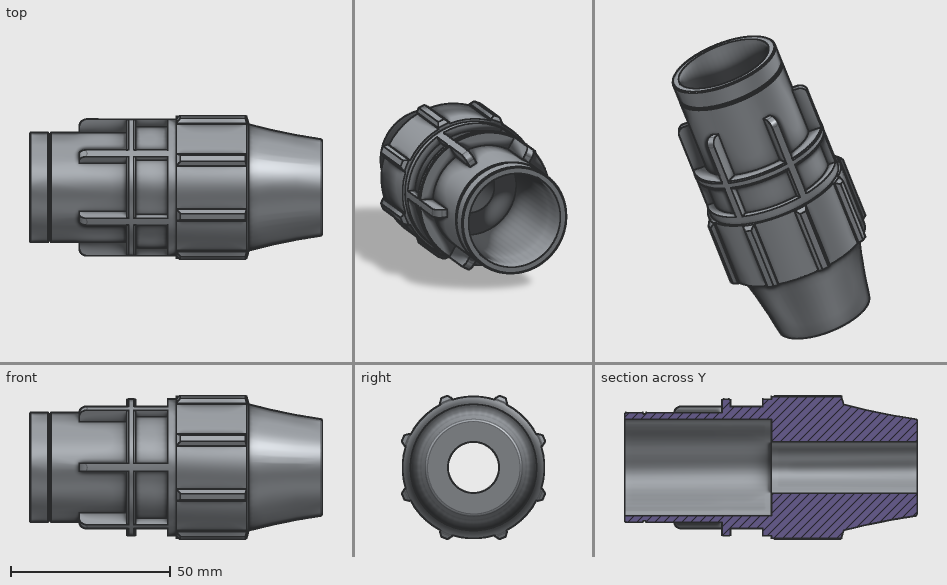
import cadquery as cq
total_length = 92.0

body_radius = 34.6 / 2
body_end_chamfer = 0.4
groove_start = 5.7
groove_end = 6.7
groove_depth = 0.5
groove_wall_run = 0.3

flange_radius = 21.5
ring_start = 30.5
ring_end = 33.3
ring_chamfer_run = 0.55
ring_chamfer_depth = 0.2
neck_radius = 19.1
collar_start = 43.3

nut_radius = 22.4
nut_start = 46.1
nut_end = 68.2
nose_start = 68.9
nose_base_radius = 19.9
nose_tip_radius = 15.2
nose_sag = 0.4
nose_fillet = 0.7

socket_radius = 30.3 / 2
socket_depth = nut_start
through_bore_radius = 16.0 / 2

fin_count = 6
fin_start = 15.55
fin_width = 2.5
fin_corner_radius = 2.5
clearance_margin = 0.9
clearance_radius = flange_radius + clearance_margin

lug_count = 8
lug_top_radius = 24.0
lug_shoulder_radius = 22.7
lug_base_width = 4.05
lug_top_width = 2.1
lug_front_slope_run = 1.3
lug_rear_slope_run = 0.4


def revolve_about_x(outline):
    """Close an XZ outline and turn it fully around the X axis."""
    return outline.close().revolve(360, (0, 0, 0), (1, 0, 0))


def turn_about_x(feature, angle):
    """Copy of a feature turned about the X axis."""
    return feature.rotate((0, 0, 0), (1, 0, 0), angle)


def make_turned_body():
    """Outside of the part, with the fin stretch still a full cylinder of flange radius."""
    groove_radius = body_radius - groove_depth
    nose_mid_x = (nose_start + total_length) / 2
    nose_mid_radius = (nose_base_radius + nose_tip_radius) / 2 - nose_sag

    outline = (
        cq.Workplane("XZ")
        .moveTo(0, 0)
        .lineTo(0, body_radius - body_end_chamfer)
        .lineTo(body_end_chamfer, body_radius)
        .lineTo(groove_start, body_radius)
        .lineTo(groove_start + groove_wall_run, groove_radius)
        .lineTo(groove_end - groove_wall_run, groove_radius)
        .lineTo(groove_end, body_radius)
        .lineTo(fin_start, body_radius)
        .lineTo(fin_start, flange_radius)
        .lineTo(nut_start, flange_radius)
        .lineTo(nut_start, nut_radius)
        .lineTo(nut_end, nut_radius)
        .lineTo(nose_start, nose_base_radius)
        .threePointArc((nose_mid_x, nose_mid_radius), (total_length, nose_tip_radius))
        .lineTo(total_length, 0)
    )
    return revolve_about_x(outline).faces(">X").edges().fillet(nose_fillet)


def make_fin_keeper():
    """Slab on the +Z side covering one fin, rounded at the fin's front outer corner."""
    corner_end = fin_start + fin_corner_radius
    return (
        cq.Workplane("XZ")
        .moveTo(fin_start, socket_radius)
        .lineTo(fin_start, flange_radius - fin_corner_radius)
        .radiusArc((corner_end, flange_radius), fin_corner_radius)
        .lineTo(corner_end, clearance_radius)
        .lineTo(nut_start, clearance_radius)
        .lineTo(nut_start, socket_radius)
        .close()
        .extrude(fin_width / 2, both=True)
    )


def make_fin_clearance():
    """Material removed between the fins, in front of and behind the chamfered ring."""
    ring_edge_radius = flange_radius - ring_chamfer_depth
    front = (
        cq.Workplane("XZ")
        .moveTo(fin_start, body_radius)
        .lineTo(ring_start, body_radius)
        .lineTo(ring_start, ring_edge_radius)
        .lineTo(ring_start + ring_chamfer_run, flange_radius)
        .lineTo(ring_start + ring_chamfer_run, clearance_radius)
        .lineTo(fin_start, clearance_radius)
    )
    rear = (
        cq.Workplane("XZ")
        .moveTo(ring_end - ring_chamfer_run, clearance_radius)
        .lineTo(ring_end - ring_chamfer_run, flange_radius)
        .lineTo(ring_end, ring_edge_radius)
        .lineTo(ring_end, neck_radius)
        .lineTo(collar_start, neck_radius)
        .lineTo(collar_start, clearance_radius)
    )
    clearance = revolve_about_x(front).union(revolve_about_x(rear))
    keeper = make_fin_keeper()
    for index in range(fin_count):
        clearance = clearance.cut(turn_about_x(keeper, (index + 0.5) * 360 / fin_count))
    return clearance


def make_lug():
    """One lug on the +Z side: straight walls, then slopes on all four sides up to a flat top."""
    base_length = nut_end - nut_start
    top_start = nut_start + lug_front_slope_run
    top_end = nut_end - lug_rear_slope_run
    top_shift = (top_start + top_end - nut_start - nut_end) / 2
    shoulder = cq.Workplane("XY", origin=((nut_start + nut_end) / 2, 0, lug_shoulder_radius))
    walls = shoulder.rect(base_length, lug_base_width).extrude(socket_radius - lug_shoulder_radius)
    slopes = (
        shoulder.rect(base_length, lug_base_width)
        .workplane(offset=lug_top_radius - lug_shoulder_radius)
        .center(top_shift, 0)
        .rect(top_end - top_start, lug_top_width)
        .loft(ruled=True)
    )
    return walls.union(slopes)


def make_bores():
    """Wide socket from the open end and a narrower bore through the whole length."""
    socket = cq.Workplane("YZ").circle(socket_radius).extrude(socket_depth)
    through_bore = cq.Workplane("YZ").circle(through_bore_radius).extrude(total_length)
    return socket.union(through_bore)


part = make_turned_body().cut(make_fin_clearance())
lug = make_lug()
for lug_index in range(lug_count):
    part = part.union(turn_about_x(lug, (lug_index + 0.5) * 360 / lug_count))
result = part.cut(make_bores())